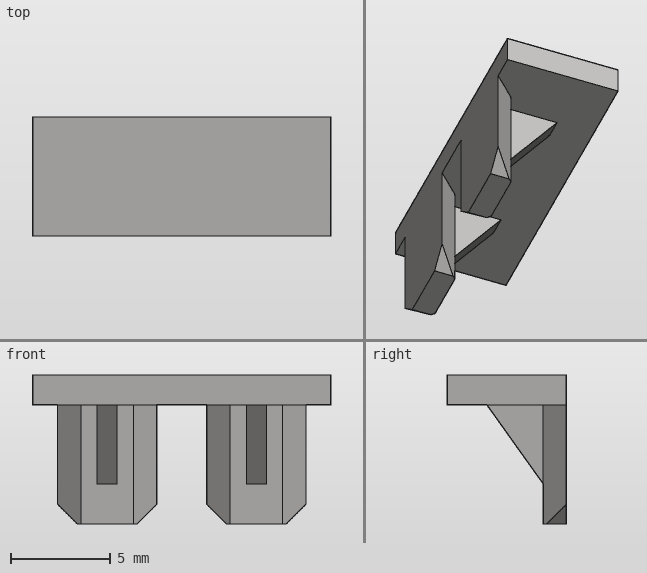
import cadquery as cq

plate_length = 15.0
plate_width = 6.0
plate_thickness = 1.5
total_height = 7.5

leg_height = total_height - plate_thickness
leg_width = 5.0
leg_thickness = 1.17
leg_spacing = plate_length / 2
tip_chamfer = 1.0

gusset_width = 1.0
gusset_depth = 2.84
gusset_height = 3.98

back_y = plate_width / 2
leg_front_y = back_y - leg_thickness


def make_plate():
    return (
        cq.Workplane("XY", origin=(0, 0, leg_height))
        .rect(plate_length, plate_width)
        .extrude(plate_thickness)
    )


def make_leg(center_x):
    """Leg with 45 degree flanks narrowing to the front and a chamfered tip."""
    half_back = leg_width / 2
    half_front = half_back - leg_thickness
    half_tip = half_back - tip_chamfer
    body = (
        cq.Workplane("XY")
        .polyline([
            (-half_back, back_y),
            (half_back, back_y),
            (half_front, leg_front_y),
            (-half_front, leg_front_y),
        ])
        .close()
        .extrude(leg_height)
    )
    silhouette = (
        cq.Workplane("XZ", origin=(0, back_y, 0))
        .polyline([
            (-half_tip, 0),
            (half_tip, 0),
            (half_back, tip_chamfer),
            (half_back, leg_height),
            (-half_back, leg_height),
            (-half_back, tip_chamfer),
        ])
        .close()
        .extrude(leg_thickness)
    )
    return body.intersect(silhouette).translate((center_x, 0, 0))


def make_gusset(center_x):
    """Triangular web bracing the leg's front face against the plate."""
    return (
        cq.Workplane("YZ", origin=(center_x, 0, 0))
        .polyline([
            (leg_front_y, leg_height),
            (leg_front_y, leg_height - gusset_height),
            (leg_front_y - gusset_depth, leg_height),
        ])
        .close()
        .extrude(gusset_width / 2, both=True)
    )


result = make_plate()
for leg_x in (-leg_spacing / 2, leg_spacing / 2):
    result = result.union(make_leg(leg_x)).union(make_gusset(leg_x))